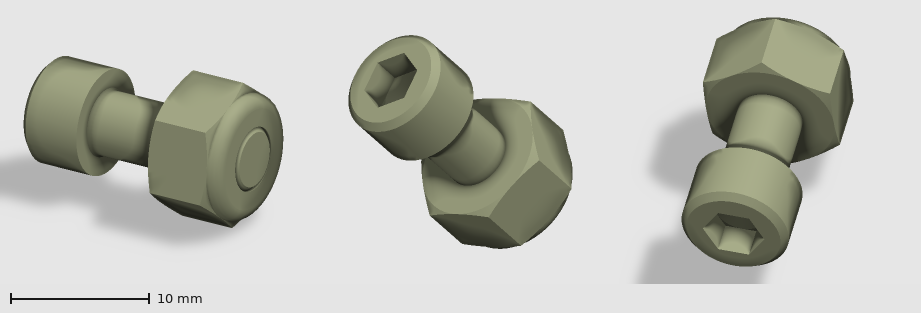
import math

import cadquery as cq

LENGTH = 17.53

HEAD_LENGTH = 4.82
HEAD_RADIUS = 3.98
HEAD_CHAMFER = 0.49
SHANK_RADIUS = 2.42
NECK_LENGTH = 0.32
NECK_FLARE = 0.15
TIP_CHAMFER = 0.37
SOCKET_ACROSS_FLATS = 3.96
SOCKET_DEPTH = 2.3
SOCKET_CONE_ANGLE = 120.0

NUT_ACROSS_FLATS = 9.52
NUT_LENGTH = 4.98
NUT_START = 11.45
NUT_TURN = 22.4
NUT_FACE_RADIUS = NUT_ACROSS_FLATS / 2
NUT_CHAMFER_DEPTH = 0.35

RING_LENGTH = 0.98

HEAD_FRONT = -LENGTH / 2
HEAD_BACK = HEAD_FRONT + HEAD_LENGTH
SCREW_TIP = HEAD_FRONT + LENGTH
NUT_FRONT = HEAD_FRONT + NUT_START
NUT_BACK = NUT_FRONT + NUT_LENGTH
RING_BACK = NUT_BACK + RING_LENGTH


def revolve_about_axis(profile):
    """Turn a closed profile, drawn as X and radius, fully around the X axis."""
    return profile.revolve(360, (0, 0, 0), (1, 0, 0))


def hexagon_bar(start, length, across_flats):
    """Hexagonal bar along +X with two of its corners on the Y axis."""
    corner_diameter = across_flats / math.cos(math.pi / 6)
    return cq.Workplane("YZ", origin=(start, 0, 0)).polygon(6, corner_diameter).extrude(length)


def make_socket():
    """Hexagon recess with a conical floor that touches all six flats."""
    floor = HEAD_FRONT + SOCKET_DEPTH
    cone_radius = SOCKET_ACROSS_FLATS / 2
    cone_depth = cone_radius / math.tan(math.radians(SOCKET_CONE_ANGLE / 2))
    cone = revolve_about_axis(
        cq.Workplane("XY")
        .moveTo(floor, 0)
        .lineTo(floor, cone_radius)
        .lineTo(floor + cone_depth, 0)
        .close()
    )
    return hexagon_bar(HEAD_FRONT, SOCKET_DEPTH, SOCKET_ACROSS_FLATS).union(cone)


def make_screw():
    """Socket head screw whose neck runs into the shank along a tangent arc."""
    neck_end = HEAD_BACK + NECK_LENGTH
    neck_radius = (NECK_LENGTH**2 + NECK_FLARE**2) / (2 * NECK_FLARE)
    half_sweep = math.asin(NECK_LENGTH / neck_radius) / 2
    neck_middle = (
        neck_end - neck_radius * math.sin(half_sweep),
        SHANK_RADIUS + neck_radius * (1 - math.cos(half_sweep)),
    )
    body = revolve_about_axis(
        cq.Workplane("XY")
        .moveTo(HEAD_FRONT, 0)
        .lineTo(HEAD_FRONT, HEAD_RADIUS - HEAD_CHAMFER)
        .lineTo(HEAD_FRONT + HEAD_CHAMFER, HEAD_RADIUS)
        .lineTo(HEAD_BACK, HEAD_RADIUS)
        .lineTo(HEAD_BACK, SHANK_RADIUS + NECK_FLARE)
        .threePointArc(neck_middle, (neck_end, SHANK_RADIUS))
        .lineTo(SCREW_TIP - TIP_CHAMFER, SHANK_RADIUS)
        .lineTo(SCREW_TIP, SHANK_RADIUS - TIP_CHAMFER)
        .lineTo(SCREW_TIP, 0)
        .close()
    )
    return body.cut(make_socket())


def make_nut():
    """Hexagon nut bored to fit the shank, its corners chamfered by a cone at both faces."""
    corner_radius = NUT_FACE_RADIUS / math.cos(math.pi / 6)
    chamfered_blank = revolve_about_axis(
        cq.Workplane("XY")
        .moveTo(NUT_FRONT, SHANK_RADIUS)
        .lineTo(NUT_FRONT, NUT_FACE_RADIUS)
        .lineTo(NUT_FRONT + NUT_CHAMFER_DEPTH, corner_radius)
        .lineTo(NUT_BACK - NUT_CHAMFER_DEPTH, corner_radius)
        .lineTo(NUT_BACK, NUT_FACE_RADIUS)
        .lineTo(NUT_BACK, SHANK_RADIUS)
        .close()
    )
    hexagon = hexagon_bar(NUT_FRONT, NUT_LENGTH, NUT_ACROSS_FLATS).rotate((0, 0, 0), (1, 0, 0), NUT_TURN)
    return hexagon.intersect(chamfered_blank)


def make_locking_ring():
    """Ring as wide as the nut face, its outside a quarter round over its full length."""
    flat_radius = NUT_FACE_RADIUS - RING_LENGTH
    arc_reach = RING_LENGTH * math.sin(math.pi / 4)
    rim_middle = (NUT_BACK + arc_reach, flat_radius + arc_reach)
    return revolve_about_axis(
        cq.Workplane("XY")
        .moveTo(NUT_BACK, SHANK_RADIUS)
        .lineTo(NUT_BACK, NUT_FACE_RADIUS)
        .threePointArc(rim_middle, (RING_BACK, flat_radius))
        .lineTo(RING_BACK, SHANK_RADIUS)
        .close()
    )


screw = make_screw()
nut = make_nut()
locking_ring = make_locking_ring()

result = cq.Compound.makeCompound([screw.val(), nut.val(), locking_ring.val()])